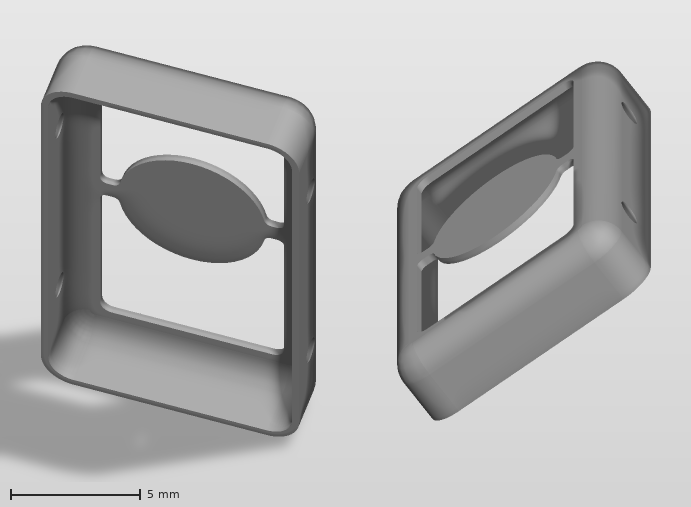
import cadquery as cq

width = 10.5
depth = 3.0
height = 18.3

wall = 0.3
corner_radius = 1.3
back_edge_radius = 1.1

window_margin = 1.5
window_corner_radius = 0.5
disc_diameter = 6.0
tab_height = 0.75
tab_fillet = 0.3

hole_diameter = 1.0
hole_spacing = 10.0

front_y = -depth / 2
back_y = depth / 2
hole_y = back_y - back_edge_radius - hole_diameter / 2
window_width = width - 2 * window_margin
window_height = height - 2 * window_margin


def rounded_block(x_size, z_size, y_end, corner, back_edge):
    """Block from the front face to y_end, rounded at its corners and back edge."""
    length = y_end - front_y
    block = cq.Workplane("XY").box(x_size, length, z_size)
    block = block.translate((0, (front_y + y_end) / 2, 0))
    return block.edges("|Y").fillet(corner).faces(">Y").edges().fillet(back_edge)


def make_shell():
    """Open-front tray with an even wall."""
    outer = rounded_block(width, height, back_y, corner_radius, back_edge_radius)
    cavity = rounded_block(
        width - 2 * wall,
        height - 2 * wall,
        back_y - wall,
        corner_radius - wall,
        back_edge_radius - wall,
    )
    return outer.cut(cavity)


def make_window():
    """Cutter for the two openings left around the disc and its tabs."""
    plate_y = back_y - wall / 2
    opening = cq.Workplane("XY").box(window_width, wall, window_height)
    opening = opening.edges("|Y").fillet(window_corner_radius)
    disc = cq.Workplane("XZ").circle(disc_diameter / 2).extrude(wall, both=True)
    tabs = cq.Workplane("XY").box(window_width, 2 * wall, tab_height)
    opening = opening.cut(disc.union(tabs))

    tab_zone = cq.selectors.BoxSelector(
        (-width, -depth, -tab_height),
        (width, depth, tab_height),
    )
    opening = opening.edges("|Y").edges(tab_zone).fillet(tab_fillet)
    return opening.translate((0, plate_y, 0))


def make_side_holes():
    """Two round cutters that pass through both long side walls."""
    return (
        cq.Workplane("YZ")
        .pushPoints([(hole_y, -hole_spacing / 2), (hole_y, hole_spacing / 2)])
        .circle(hole_diameter / 2)
        .extrude(width, both=True)
    )


result = make_shell().cut(make_window()).cut(make_side_holes())